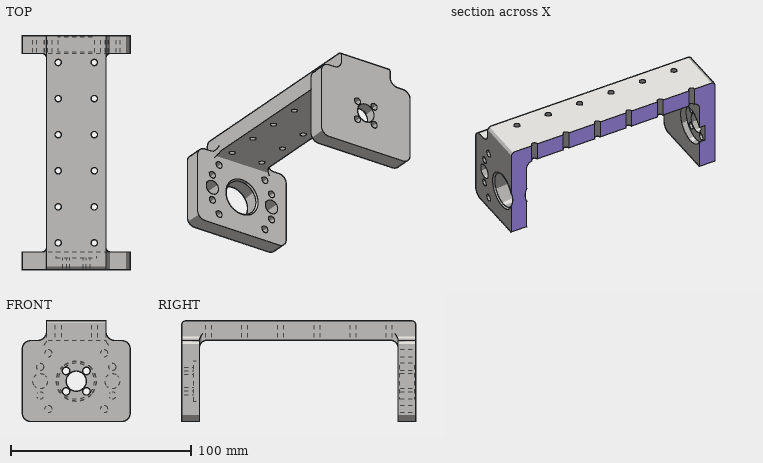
import cadquery as cq

width = 60.0
length = 130.0
height = 56.0
plate_thickness = 10.0
plate_height = 45.1
bridge_width = 33.0
bridge_thickness = 10.9

corner_radius = 5.0
neck_radius = 5.0
outer_edge_radius = 2.5
inner_bend_radius = 4.0
side_fillet_radius = 2.5

bridge_hole_diameter = 3.4
bridge_hole_pitch = 20.0
bridge_hole_columns = 2
bridge_hole_rows = 6

bore_axis_z = 22.5

shaft_diameter = 11.0
shaft_screw_diameter = 4.0
shaft_screw_spacing = 11.3
recess_diameter = 22.4
recess_depth = 3.5

bore_diameter = 20.0
bore_chamfer = 0.9
motor_screw_diameter = 4.0
motor_screw_spacing = 31.0
side_hole_diameter = 8.3
side_hole_offset = 20.0
side_screw_diameter = 4.0
side_screw_offset = 7.9

inner_length = length - 2 * plate_thickness


def bridge_profile():
    """Channel seen along X, with rounded top ends and inner bends."""
    body = cq.Workplane("XY").box(width, length, height, centered=(True, True, False))
    body = body.edges("|X and >Z").fillet(outer_edge_radius)
    opening_height = height - bridge_thickness
    opening = cq.Workplane("XY").box(width, inner_length, opening_height, centered=(True, True, False))
    return body.cut(opening.edges("|X and >Z").fillet(inner_bend_radius))


def side_notch(side):
    """Recess beside the bridge, between the two end plates."""
    depth = (width - bridge_width) / 2
    notch = cq.Workplane("XY").box(depth, inner_length, height, centered=(True, True, False))
    bridge_side = "<X" if side > 0 else ">X"
    notch = notch.edges("|Z").edges(bridge_side).fillet(side_fillet_radius)
    return notch.translate((side * (bridge_width + depth) / 2, 0, 0))


def plate_outline():
    """Rounded plate with a narrower neck, extruded over the full length."""
    half_width = width / 2
    half_neck = bridge_width / 2
    margin = 0.1
    points = [
        (-half_width, 0),
        (half_width, 0),
        (half_width, plate_height),
        (half_neck, plate_height),
        (half_neck, height),
        (-half_neck, height),
        (-half_neck, plate_height),
        (-half_width, plate_height),
    ]
    prism = cq.Workplane("XZ").polyline(points).close().extrude(length / 2, both=True)
    prism = prism.edges("|Y").edges("<X or >X").fillet(corner_radius)
    neck_corners = cq.selectors.BoxSelector(
        (-half_neck - margin, -length, plate_height - margin),
        (half_neck + margin, length, plate_height + margin),
    )
    return prism.edges("|Y").edges(neck_corners).fillet(neck_radius)


def plate_holes(side, points, diameter, depth=plate_thickness):
    """Cylinders along Y from the outer face of one plate, placed about the hole axis."""
    outer_face = side * length / 2
    plane = cq.Plane(origin=(0, outer_face, bore_axis_z), xDir=(1, 0, 0), normal=(0, -1, 0))
    return cq.Workplane(plane).pushPoints(points).circle(diameter / 2).extrude(side * depth)


def bore_mouth(face_y, outward):
    """Cone that chamfers the bore where it meets the plate face at face_y."""
    plane = cq.Plane(origin=(0, face_y, bore_axis_z), xDir=(1, 0, 0), normal=(0, -outward, 0))
    return cq.Workplane(plane).circle(bore_diameter / 2 + bore_chamfer).extrude(bore_chamfer, taper=45)


def square_points(spacing):
    half = spacing / 2
    return [(x, z) for x in (-half, half) for z in (-half, half)]


result = bridge_profile().intersect(plate_outline())
for side in (-1, 1):
    result = result.cut(side_notch(side))

bridge_holes = (
    cq.Workplane("XY")
    .workplane(offset=height - bridge_thickness - inner_bend_radius)
    .rarray(bridge_hole_pitch, bridge_hole_pitch, bridge_hole_columns, bridge_hole_rows)
    .circle(bridge_hole_diameter / 2)
    .extrude(bridge_thickness + inner_bend_radius)
)
result = result.cut(bridge_holes)

result = result.cut(plate_holes(-1, [(0, 0)], shaft_diameter))
result = result.cut(plate_holes(-1, square_points(shaft_screw_spacing), shaft_screw_diameter))

recess_plane = cq.Plane(origin=(0, -inner_length / 2, bore_axis_z), xDir=(1, 0, 0), normal=(0, -1, 0))
recess = cq.Workplane(recess_plane).circle(recess_diameter / 2).extrude(recess_depth)
result = result.cut(recess)

result = result.cut(plate_holes(1, [(0, 0)], bore_diameter))
for face_y, outward in ((inner_length / 2, -1), (length / 2, 1)):
    result = result.cut(bore_mouth(face_y, outward))
result = result.cut(plate_holes(1, square_points(motor_screw_spacing), motor_screw_diameter))

side_holes = [(-side_hole_offset, 0), (side_hole_offset, 0)]
side_screws = [(x, z) for x, _ in side_holes for z in (-side_screw_offset, side_screw_offset)]
result = result.cut(plate_holes(1, side_holes, side_hole_diameter))
result = result.cut(plate_holes(1, side_screws, side_screw_diameter))